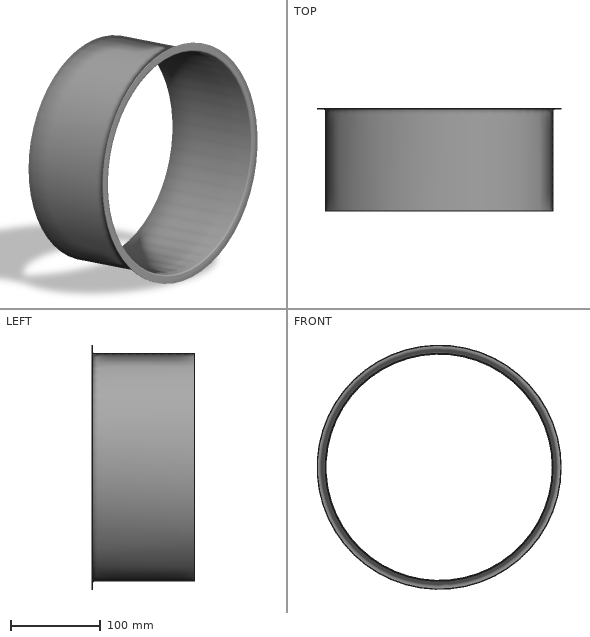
import cadquery as cq

flange_diameter = 273.2
tube_outer_diameter = 255.2
tube_inner_diameter = 253.3
length = 115.0

sheet_thickness = (tube_outer_diameter - tube_inner_diameter) / 2
bend_inner_radius = 0.95
bend_outer_radius = bend_inner_radius + sheet_thickness

tube_outer_radius = tube_outer_diameter / 2
tube_inner_radius = tube_inner_diameter / 2
flange_radius = flange_diameter / 2

back_y = length / 2
front_y = -length / 2
flange_front_y = back_y - sheet_thickness
bend_start_y = back_y - bend_outer_radius
bend_end_radius = tube_outer_radius + bend_inner_radius


def flanged_tube():
    """Revolve the L-shaped wall section, with its rounded bend, about Y."""
    bend_centre = (bend_end_radius, bend_start_y)
    diagonal = 0.5 ** 0.5

    def bend_midpoint(radius):
        return (bend_centre[0] - radius * diagonal, bend_centre[1] + radius * diagonal)

    section = (
        cq.Workplane("XY")
        .moveTo(tube_inner_radius, front_y)
        .lineTo(tube_outer_radius, front_y)
        .lineTo(tube_outer_radius, bend_start_y)
        .threePointArc(bend_midpoint(bend_inner_radius), (bend_end_radius, flange_front_y))
        .lineTo(flange_radius, flange_front_y)
        .lineTo(flange_radius, back_y)
        .lineTo(bend_end_radius, back_y)
        .threePointArc(bend_midpoint(bend_outer_radius), (tube_inner_radius, bend_start_y))
        .close()
    )
    return section.revolve(360, (0, 0, 0), (0, 1, 0))


result = flanged_tube()